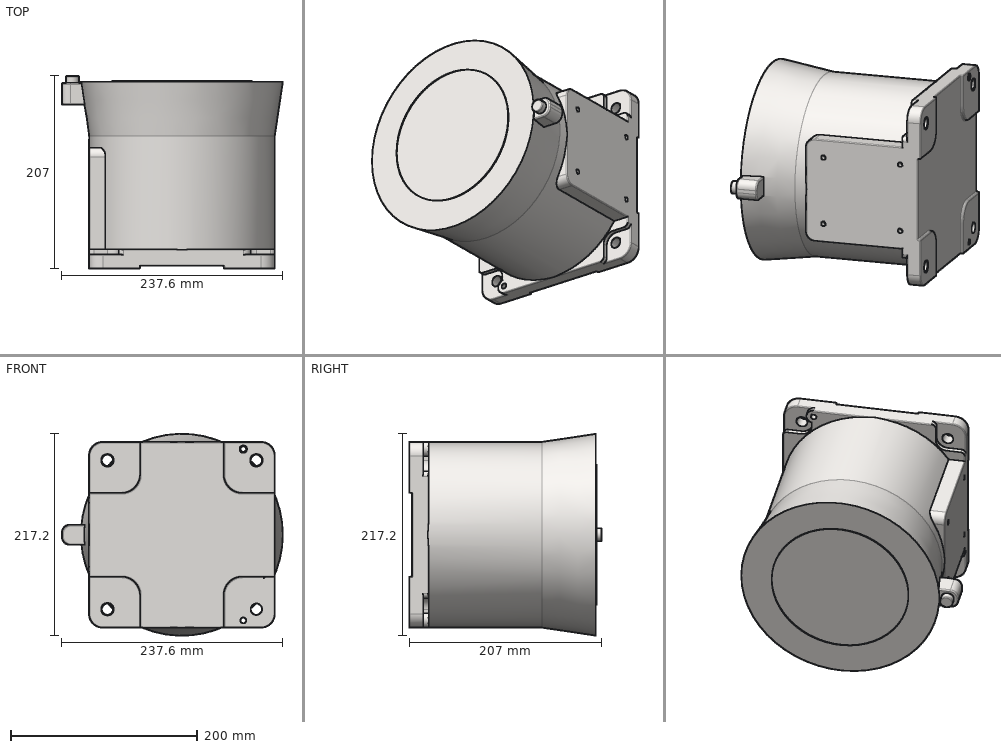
import cadquery as cq
import math

OVERALL_LENGTH = 207.0
EDGE_FILLET = 1.0

FLANGE_SIZE = 199.8
FLANGE_HALF = FLANGE_SIZE / 2
FLANGE_BACK_Y = 21.0
FLANGE_CORNER_RADIUS = 15.0

PAD_HEIGHT = 3.0
PAD_SIZE = 55.0
PAD_INNER_EDGE = FLANGE_HALF - PAD_SIZE
PAD_INNER_RADIUS = 20.0

BODY_RADIUS = FLANGE_HALF
BODY_BACK_Y = 142.5
FLARE_RADIUS = 108.61
FLARE_BACK_Y = 200.8
BACK_DISC_RADIUS = 75.0
BACK_DISC_HEIGHT = 1.0

BOLT_OFFSET = 80.0
BOLT_HOLE_DIAMETER = 12.0
BOLT_HOLE_CHAMFER = 0.8
RELIEF_RADIUS = 12.0
RELIEF_FLOOR_Y = 15.5
RELIEF_LIP_RADIUS = 5.0

PIN_X = 66.0
PIN_Z = 92.0
PIN_HOLE_DIAMETER = 6.0
PIN_HOLE_CHAMFER = 1.0
PIN_BOSS_RADIUS = FLANGE_HALF - PIN_Z

SIDE_FACE_X = -FLANGE_HALF
SIDE_FACE_HEIGHT = 114.0
SIDE_FACE_BACK_Y = 130.0
SIDE_FACE_CORNER_RADIUS = 10.0
TAPPED_HOLE_DIAMETER = 5.0
TAPPED_HOLE_DEPTH = 10.0
TAPPED_HOLE_Y = (23.0, 110.0)
TAPPED_HOLE_Z = 37.0

CONNECTOR_LEFT_X = -129.0
CONNECTOR_RIGHT_X = -95.0
CONNECTOR_FRONT_Y = 176.0
CONNECTOR_BACK_Y = 199.5
CONNECTOR_HEIGHT = 22.0
CONNECTOR_CORNER_RADIUS = 9.0
CONNECTOR_END_FILLET = 1.5
PLUG_X = -117.5
PLUG_DIAMETER = 14.0

SIDES = (-1, 1)
CORNERS = [(side_x, side_z) for side_x in SIDES for side_z in SIDES]


def box_between(x_range, y_range, z_range):
    """Box spanning the given ranges, whose ends may come in either order."""
    ranges = (x_range, y_range, z_range)
    size = [max(ends) - min(ends) for ends in ranges]
    corner = tuple(min(ends) for ends in ranges)
    return cq.Workplane("XY").box(*size, centered=False).translate(corner)


def cylinder_y(x, z, diameter, start_y, end_y):
    """Cylinder along Y from start_y to end_y."""
    return cq.Workplane("XZ", origin=(x, start_y, z)).circle(diameter / 2).extrude(start_y - end_y)


def rounded_square(start_y, end_y):
    """Slab with the outline of the flange."""
    slab = box_between((-FLANGE_HALF, FLANGE_HALF), (start_y, end_y), (-FLANGE_HALF, FLANGE_HALF))
    return slab.edges("|Y").fillet(FLANGE_CORNER_RADIUS)


def make_pad_prism(side_x, side_z):
    """Column over one corner, with the rounded inner corner of a pad."""
    overhang = FLANGE_HALF + 1
    pad = box_between(
        (side_x * PAD_INNER_EDGE, side_x * overhang),
        (0, PAD_HEIGHT),
        (side_z * PAD_INNER_EDGE, side_z * overhang),
    )
    inner_corner = (side_x * PAD_INNER_EDGE, PAD_HEIGHT / 2, side_z * PAD_INNER_EDGE)
    return pad.edges(cq.selectors.NearestToPointSelector(inner_corner)).fillet(PAD_INNER_RADIUS)


def make_flange():
    """Flange and its four pads, with rounded pad roots and outer edges."""
    flange = rounded_square(PAD_HEIGHT, FLANGE_BACK_Y)
    outline = rounded_square(0, PAD_HEIGHT)
    for side_x, side_z in CORNERS:
        flange = flange.union(outline.intersect(make_pad_prism(side_x, side_z)))

    inside = FLANGE_HALF - EDGE_FILLET
    root_back_y = PAD_HEIGHT + EDGE_FILLET / 2
    root_front_y = PAD_HEIGHT - EDGE_FILLET / 2
    root_zone = cq.selectors.BoxSelector((-inside, root_front_y, -inside), (inside, root_back_y, inside))
    flange = flange.edges(root_zone).fillet(EDGE_FILLET)

    pad_front_limit_y = EDGE_FILLET / 2
    front_edges = flange.faces("<Y").edges().objects
    for side in ("<X", ">X", "<Z", ">Z"):
        side_edges = flange.faces(side).edges().objects
        front_edges += [edge for edge in side_edges if pad_front_limit_y < edge.Center().y < root_back_y]
    flange = flange.newObject(front_edges).fillet(EDGE_FILLET)
    return flange.faces(">Y").edges().fillet(EDGE_FILLET)


def make_body():
    """Cylindrical housing, flared cone and thin rear disc, turned about Y."""
    start_y = FLANGE_BACK_Y - EDGE_FILLET
    disc_back_y = FLARE_BACK_Y + BACK_DISC_HEIGHT
    return (
        cq.Workplane("XY")
        .moveTo(0, start_y)
        .lineTo(BODY_RADIUS, start_y)
        .lineTo(BODY_RADIUS, BODY_BACK_Y)
        .lineTo(FLARE_RADIUS, FLARE_BACK_Y)
        .lineTo(BACK_DISC_RADIUS, FLARE_BACK_Y)
        .lineTo(BACK_DISC_RADIUS, disc_back_y)
        .lineTo(0, disc_back_y)
        .close()
        .revolve(360, (0, 0, 0), (0, 1, 0))
    )


def make_side_face():
    """Flat block on the -X side, running from inside the flange along the housing."""
    half = SIDE_FACE_HEIGHT / 2
    block = box_between((SIDE_FACE_X, 0), (RELIEF_FLOOR_Y, SIDE_FACE_BACK_Y), (-half, half))
    block = block.edges(">Y and |X").fillet(SIDE_FACE_CORNER_RADIUS)
    front_edge = cq.selectors.NearestToPointSelector((SIDE_FACE_X, RELIEF_FLOOR_Y, 0))
    rounded_edges = block.faces("<X").edges().objects
    plain_edge = block.edges(front_edge).val()
    rounded_edges = [edge for edge in rounded_edges if not edge.isSame(plain_edge)]
    return block.newObject(rounded_edges).fillet(EDGE_FILLET)


def make_connector():
    """Side connector housing with its cylindrical plug."""
    half = CONNECTOR_HEIGHT / 2
    block = box_between(
        (CONNECTOR_LEFT_X, CONNECTOR_RIGHT_X), (CONNECTOR_FRONT_Y, CONNECTOR_BACK_Y), (-half, half)
    )
    block = block.edges("<X and |Y").fillet(CONNECTOR_CORNER_RADIUS)
    block = block.faces("<Y or >Y").edges("not >X").fillet(CONNECTOR_END_FILLET)
    plug = cylinder_y(PLUG_X, 0, PLUG_DIAMETER, CONNECTOR_BACK_Y, OVERALL_LENGTH)
    return block.union(plug.faces(">Y").edges().fillet(EDGE_FILLET))


def make_relief_prism(side_x, side_z, start_y):
    """Bolt head clearance in one corner: a round pocket opening onto both sides over rounded lips."""
    wall = BOLT_OFFSET - RELIEF_RADIUS
    lip_end = wall - RELIEF_LIP_RADIUS
    lip_centre = FLANGE_HALF - RELIEF_LIP_RADIUS
    pocket_mid = BOLT_OFFSET - RELIEF_RADIUS * math.sqrt(0.5)
    lip_mid_along = lip_end + RELIEF_LIP_RADIUS * math.sqrt(0.5)
    lip_mid_across = lip_centre + RELIEF_LIP_RADIUS * math.sqrt(0.5)

    def corner_point(x, z):
        return (side_x * x, side_z * z)

    prism = (
        cq.Workplane("XZ", origin=(0, FLANGE_BACK_Y, 0))
        .moveTo(*corner_point(FLANGE_HALF, FLANGE_HALF))
        .lineTo(*corner_point(lip_end, FLANGE_HALF))
        .threePointArc(corner_point(lip_mid_along, lip_mid_across), corner_point(wall, lip_centre))
        .lineTo(*corner_point(wall, BOLT_OFFSET))
        .threePointArc(corner_point(pocket_mid, pocket_mid), corner_point(BOLT_OFFSET, wall))
        .lineTo(*corner_point(lip_centre, wall))
        .threePointArc(corner_point(lip_mid_across, lip_mid_along), corner_point(FLANGE_HALF, lip_end))
        .close()
        .extrude(FLANGE_BACK_Y - start_y)
    )
    if side_x > 0:
        prism = prism.cut(make_pin_boss(side_z, start_y))
    return prism


def make_pin_boss(side_z, start_y):
    """Material kept around a pin hole beside the bolt head clearance."""
    boss = cylinder_y(PIN_X, side_z * PIN_Z, 2 * PIN_BOSS_RADIUS, start_y, FLANGE_BACK_Y)
    shoulder = box_between(
        (PIN_X - PIN_BOSS_RADIUS, PIN_X),
        (start_y, FLANGE_BACK_Y),
        (side_z * (PIN_Z - PIN_BOSS_RADIUS), side_z * FLANGE_HALF),
    )
    return boss.union(shoulder)


def make_relief(side_x, side_z):
    """Bolt head clearance together with the rounding of its floor's outer edge."""
    rounding_start_y = RELIEF_FLOOR_Y - EDGE_FILLET
    rounded_rim = rounded_square(0, RELIEF_FLOOR_Y).faces(">Y").edges().fillet(EDGE_FILLET)
    return make_relief_prism(side_x, side_z, rounding_start_y).cut(rounded_rim)


def make_drilled_hole(x, z, diameter, mouth_chamfer):
    """Through hole along Y; a non-zero mouth_chamfer widens it at the mounting face."""
    hole = cylinder_y(x, z, diameter, 0, FLANGE_BACK_Y)
    if mouth_chamfer > 0:
        radius = diameter / 2
        mouth = cq.Solid.makeCone(
            radius + mouth_chamfer, radius, mouth_chamfer, cq.Vector(x, 0, z), cq.Vector(0, 1, 0)
        )
        hole = hole.union(cq.Workplane(mouth))
    return hole


def make_tapped_hole(y, z):
    """Blind hole in the -X mounting face."""
    workplane = cq.Workplane("YZ", origin=(SIDE_FACE_X, y, z))
    return workplane.circle(TAPPED_HOLE_DIAMETER / 2).extrude(TAPPED_HOLE_DEPTH)


result = make_flange().union(make_body()).union(make_side_face()).union(make_connector())

for side_x, side_z in CORNERS:
    plain_mouth = side_x > 0 and side_z < 0
    chamfer = 0 if plain_mouth else BOLT_HOLE_CHAMFER
    result = result.cut(make_relief(side_x, side_z))
    result = result.cut(
        make_drilled_hole(side_x * BOLT_OFFSET, side_z * BOLT_OFFSET, BOLT_HOLE_DIAMETER, chamfer)
    )

for side_z in SIDES:
    chamfer = PIN_HOLE_CHAMFER if side_z > 0 else 0
    result = result.cut(make_drilled_hole(PIN_X, side_z * PIN_Z, PIN_HOLE_DIAMETER, chamfer))
    for hole_y in TAPPED_HOLE_Y:
        result = result.cut(make_tapped_hole(hole_y, side_z * TAPPED_HOLE_Z))